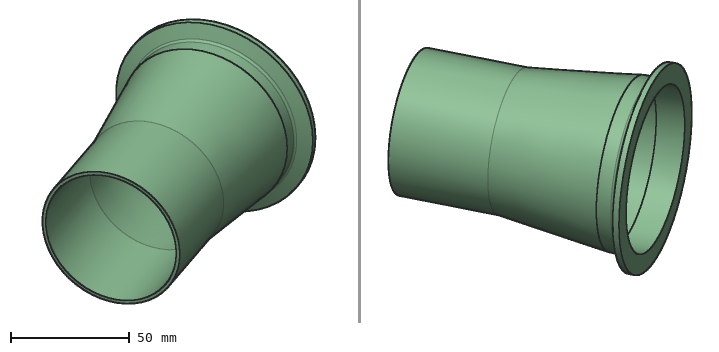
import cadquery as cq
import math

TOTAL_LENGTH = 108.0
WALL = 1.6

FLANGE_RADIUS = 45.5
RIM_THICKNESS = 2.8
FLANGE_BACK_ANGLE = 20.0
FERRULE_LENGTH = 12.7
LARGE_TUBE_RADIUS = 38.1
FLANGE_FILLET = 1.3

SMALL_TUBE_RADIUS = 31.8
SMALL_TUBE_LENGTH = 44.4

FERRULE_JOINT = TOTAL_LENGTH - FERRULE_LENGTH
LARGE_BORE_RADIUS = LARGE_TUBE_RADIUS - WALL
SMALL_BORE_RADIUS = SMALL_TUBE_RADIUS - WALL


def revolve_about_y(profile):
    """Turn a closed (radius, Y) profile into a full ring around the Y axis."""
    return profile.close().revolve(360, (0, 0, 0), (0, 1, 0))


def make_ferrule():
    """Short tube with a clamp flange whose conical back blends into the tube."""
    angle = math.radians(FLANGE_BACK_ANGLE)
    rim_edge = TOTAL_LENGTH - RIM_THICKNESS
    cone_drop = (FLANGE_RADIUS - LARGE_TUBE_RADIUS) * math.tan(angle)
    corner = rim_edge - cone_drop

    tangent_length = FLANGE_FILLET * math.tan((math.pi / 2 - angle) / 2)
    tube_tangent = (LARGE_TUBE_RADIUS, corner - tangent_length)
    cone_tangent = (
        LARGE_TUBE_RADIUS + tangent_length * math.cos(angle),
        corner + tangent_length * math.sin(angle),
    )
    profile = (
        cq.Workplane("XY")
        .moveTo(LARGE_BORE_RADIUS, FERRULE_JOINT)
        .lineTo(LARGE_TUBE_RADIUS, FERRULE_JOINT)
        .lineTo(*tube_tangent)
        .radiusArc(cone_tangent, FLANGE_FILLET)
        .lineTo(FLANGE_RADIUS, rim_edge)
        .lineTo(FLANGE_RADIUS, TOTAL_LENGTH)
        .lineTo(LARGE_BORE_RADIUS, TOTAL_LENGTH)
    )
    return revolve_about_y(profile)


def make_reducer():
    """Straight small tube followed by a taper up to the ferrule's diameter."""
    profile = (
        cq.Workplane("XY")
        .moveTo(SMALL_BORE_RADIUS, 0)
        .lineTo(SMALL_TUBE_RADIUS, 0)
        .lineTo(SMALL_TUBE_RADIUS, SMALL_TUBE_LENGTH)
        .lineTo(LARGE_TUBE_RADIUS, FERRULE_JOINT)
        .lineTo(LARGE_BORE_RADIUS, FERRULE_JOINT)
        .lineTo(SMALL_BORE_RADIUS, SMALL_TUBE_LENGTH)
    )
    return revolve_about_y(profile)


ferrule = make_ferrule()
reducer = make_reducer()

result = cq.Compound.makeCompound([ferrule.val(), reducer.val()])